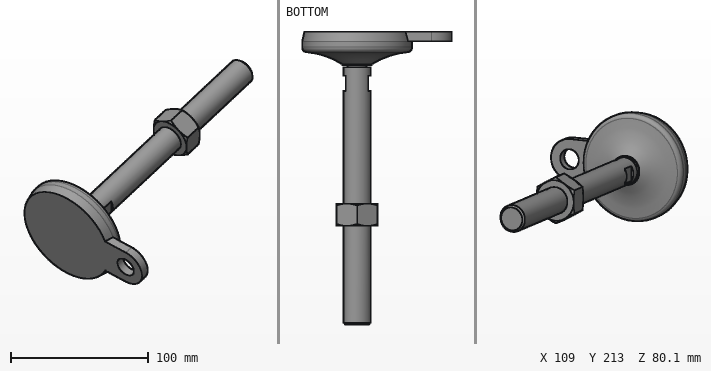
import cadquery as cq
import math

total_height = 213.0
total_width = 109.0

foot_radius = 80.0 / 2
sole_radius = 38.3
taper_height = 7.0
rim_height = 11.0
shoulder_radius = 37.0
shoulder_height = 15.0
flare_radius = 20.7
flare_height = 18.7
collar_radius = 10.9
collar_height = 24.5
collar_thickness = 0.9

lug_radius = 30.0 / 2
lug_thickness = taper_height
lug_offset = total_width - foot_radius - lug_radius
lug_hole_diameter = 15.0

rod_radius = 20.0 / 2
rod_bottom = 25.8
rod_chamfer = 1.5
neck_radius = 7.0
flats_bottom = 32.2
flats_length = 10.9
flats_width = 16.6

nut_bottom = 125.0
nut_height = 16.2
nut_across_flats = 30.0
nut_across_corners = nut_across_flats / math.cos(math.radians(30))
nut_chamfer_angle = 30.0


def cylinder(radius, bottom, height):
    """Upright cylinder around the Y axis."""
    plane = cq.Workplane("XZ", origin=(0, bottom, 0))
    return plane.circle(radius).extrude(-height)


def make_foot():
    """Tapered disc with a rounded rim and a concave flare up to a thin collar."""
    flare_top = collar_height - collar_thickness
    rim_bulge = math.sqrt(0.5)
    rim_mid = (
        shoulder_radius + (foot_radius - shoulder_radius) * rim_bulge,
        rim_height + (shoulder_height - rim_height) * rim_bulge,
    )
    profile = (
        cq.Workplane("XY")
        .lineTo(sole_radius, 0)
        .lineTo(foot_radius, taper_height)
        .lineTo(foot_radius, rim_height)
        .threePointArc(rim_mid, (shoulder_radius, shoulder_height))
        .threePointArc((flare_radius, flare_height), (collar_radius, flare_top))
        .lineTo(collar_radius, collar_height)
        .lineTo(0, collar_height)
        .close()
    )
    return profile.revolve(360, (0, 0, 0), (0, 1, 0))


def make_lug():
    """Flat round-ended tab reaching from the foot axis towards +X."""
    tab = cq.Workplane("XZ").center(lug_offset / 2, 0).rect(lug_offset, 2 * lug_radius)
    tab = tab.extrude(-lug_thickness)
    end = cq.Workplane("XZ").center(lug_offset, 0).circle(lug_radius).extrude(-lug_thickness)
    return tab.union(end)


def make_lug_hole():
    hole = cq.Workplane("XZ").center(lug_offset, 0).circle(lug_hole_diameter / 2)
    return hole.extrude(-lug_thickness)


def make_rod():
    """Rod with a chamfered top, two wrench flats and a short neck into the foot."""
    rod = cylinder(rod_radius, rod_bottom, total_height - rod_bottom)
    rod = rod.faces(">Y").chamfer(rod_chamfer)
    flats_middle = flats_bottom + flats_length / 2
    for side in (-1, 1):
        cutter = cq.Workplane("XY").box(rod_radius, flats_length, 2 * rod_radius)
        offset = side * (flats_width + rod_radius) / 2
        rod = rod.cut(cutter.translate((offset, flats_middle, 0)))
    return rod.union(cylinder(neck_radius, collar_height, rod_bottom - collar_height))


def make_nut():
    """Hexagon nut with flats facing X and conical chamfers on both ends."""
    hexagon = cq.Workplane("XZ", origin=(0, nut_bottom, 0)).transformed(rotate=(0, 0, 90))
    nut = hexagon.polygon(6, nut_across_corners).extrude(-nut_height)
    corner_radius = nut_across_corners / 2
    face_radius = nut_across_flats / 2
    chamfer_height = (corner_radius - face_radius) * math.tan(math.radians(nut_chamfer_angle))
    envelope = (
        cq.Workplane("XY", origin=(0, nut_bottom, 0))
        .lineTo(face_radius, 0)
        .lineTo(corner_radius, chamfer_height)
        .lineTo(corner_radius, nut_height - chamfer_height)
        .lineTo(face_radius, nut_height)
        .lineTo(0, nut_height)
        .close()
        .revolve(360, (0, 0, 0), (0, 1, 0))
    )
    return nut.intersect(envelope)


foot = make_foot().union(make_lug()).cut(make_lug_hole())
result = foot.union(make_rod()).union(make_nut())